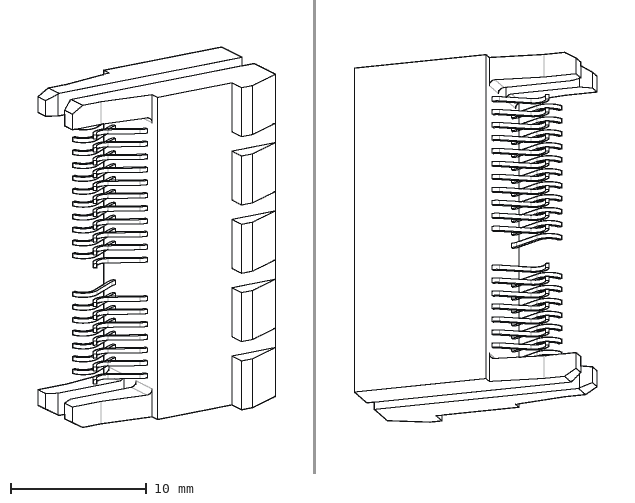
import cadquery as cq
import math


BODY_WIDTH = 7.5
BODY_DEPTH = 10.25
BODY_HEIGHT = 25.0

CHANNEL_LEFT = 2.85
CHANNEL_RIGHT = 4.52
CHANNEL_DEPTH = 1.02

LATCH_COUNT = 5
LATCH_REACH = 1.35
LATCH_LENGTH = 3.8
LATCH_RAMP_DEPTH = 2.85
LATCH_DEPTH = 3.8

TOTAL_DEPTH = 16.8
LEG_HEIGHT = 1.75
LEG_ROOT_INSET = 0.75
LEG_TIP_INSET = 1.35
LEG_TAPER_LENGTH = 4.05
LEG_ROOT_FILLET = 0.42
LEG_END_CHAMFER_LENGTH = 0.9
LEG_END_CHAMFER = 0.52
LEG_SIDE_CHAMFER_LENGTH = 0.82
LEFT_LEG_SIDE_CHAMFER = 0.42
RIGHT_LEG_SIDE_CHAMFER = 0.55

CONTACT_PITCH = 1.0
CONTACT_FIRST_Z = 3.0
CONTACT_SLOTS = 20
EMPTY_SLOTS = (7, 8)
CONTACT_WIDTH = 0.32
CONTACT_THICKNESS = 0.25
CONTACT_INSET = 1.42
CONTACT_EMBED = 0.25
ROOT_BEND_RADIUS = 1.05
TIP_BEND_RADIUS = 0.9
ARM_LENGTH = 2.35
ARM_ANGLE = 30.5
TIP_ANGLE = 74.0


def make_body():
    body = cq.Workplane("XY").box(BODY_WIDTH, BODY_DEPTH, BODY_HEIGHT, centered=False)
    body = body.translate((0, -BODY_DEPTH, 0))
    channel = cq.Workplane("XY").box(
        CHANNEL_RIGHT - CHANNEL_LEFT, BODY_DEPTH, CHANNEL_DEPTH, centered=False
    )
    for z in (0, BODY_HEIGHT - CHANNEL_DEPTH):
        body = body.cut(channel.translate((CHANNEL_LEFT, -BODY_DEPTH, z)))
    return body


def make_latch(z):
    outer = BODY_WIDTH + LATCH_REACH
    return (
        cq.Workplane("XY", origin=(0, 0, z))
        .moveTo(BODY_WIDTH, 0)
        .lineTo(outer, -LATCH_RAMP_DEPTH)
        .lineTo(outer, -LATCH_DEPTH)
        .lineTo(BODY_WIDTH, -LATCH_DEPTH)
        .close()
        .extrude(LATCH_LENGTH)
    )


def make_leg_plan(inner, chamfer, side):
    """Leg outline seen along Z; side is -1 for the -X legs and 1 for the +X legs."""
    middle = BODY_WIDTH / 2
    root_outer = middle + side * (middle - LEG_ROOT_INSET)
    tip_outer = middle + side * (middle - LEG_TIP_INSET)
    return (
        cq.Workplane("XY")
        .moveTo(inner, -BODY_DEPTH)
        .lineTo(root_outer, -BODY_DEPTH)
        .lineTo(tip_outer, -BODY_DEPTH - LEG_TAPER_LENGTH)
        .lineTo(tip_outer, -TOTAL_DEPTH)
        .lineTo(inner + side * chamfer, -TOTAL_DEPTH)
        .lineTo(inner, -TOTAL_DEPTH + LEG_SIDE_CHAMFER_LENGTH)
        .close()
        .extrude(BODY_HEIGHT)
    )


def make_leg_side():
    """Lower leg outline seen along X, with the root fillet and the end chamfer."""
    arc_offset = LEG_ROOT_FILLET * (1 - math.sqrt(0.5))
    return (
        cq.Workplane("YZ")
        .moveTo(-BODY_DEPTH, 0)
        .lineTo(-TOTAL_DEPTH + LEG_END_CHAMFER_LENGTH, 0)
        .lineTo(-TOTAL_DEPTH, LEG_END_CHAMFER)
        .lineTo(-TOTAL_DEPTH, LEG_HEIGHT)
        .lineTo(-BODY_DEPTH - LEG_ROOT_FILLET, LEG_HEIGHT)
        .threePointArc(
            (-BODY_DEPTH - arc_offset, LEG_HEIGHT + arc_offset),
            (-BODY_DEPTH, LEG_HEIGHT + LEG_ROOT_FILLET),
        )
        .close()
        .extrude(BODY_WIDTH)
    )


def make_legs():
    left = make_leg_plan(CHANNEL_LEFT, LEFT_LEG_SIDE_CHAMFER, -1)
    right = make_leg_plan(CHANNEL_RIGHT, RIGHT_LEG_SIDE_CHAMFER, 1)
    lower = left.union(right).intersect(make_leg_side())
    upper = lower.mirror("XY").translate((0, 0, BODY_HEIGHT))
    return lower.union(upper)


def make_contact():
    """Left-hand contact: curved root, straight arm leaning inwards, hooked tip."""
    arm = math.radians(ARM_ANGLE)
    tip = math.radians(TIP_ANGLE)

    root_centre = (CONTACT_INSET + ROOT_BEND_RADIUS, -BODY_DEPTH)
    root_end_x = root_centre[0] - ROOT_BEND_RADIUS * math.cos(arm)
    root_end_y = root_centre[1] - ROOT_BEND_RADIUS * math.sin(arm)
    arm_end_x = root_end_x + ARM_LENGTH * math.sin(arm)
    arm_end_y = root_end_y - ARM_LENGTH * math.cos(arm)
    tip_centre = (
        arm_end_x - TIP_BEND_RADIUS * math.cos(arm),
        arm_end_y - TIP_BEND_RADIUS * math.sin(arm),
    )

    def root_point(angle, offset):
        radius = ROOT_BEND_RADIUS - offset
        return root_centre[0] - radius * math.cos(angle), root_centre[1] - radius * math.sin(angle)

    def tip_point(angle, offset):
        radius = TIP_BEND_RADIUS + offset
        return tip_centre[0] + radius * math.cos(angle), tip_centre[1] - radius * math.sin(angle)

    thick = CONTACT_THICKNESS
    return (
        cq.Workplane("XY")
        .moveTo(CONTACT_INSET, -BODY_DEPTH + CONTACT_EMBED)
        .lineTo(*root_point(0, 0))
        .threePointArc(root_point(arm / 2, 0), root_point(arm, 0))
        .lineTo(*tip_point(-arm, 0))
        .threePointArc(tip_point(0, 0), tip_point(tip, 0))
        .lineTo(*tip_point(tip, thick))
        .threePointArc(tip_point(0, thick), tip_point(-arm, thick))
        .lineTo(*root_point(arm, thick))
        .threePointArc(root_point(arm / 2, thick), root_point(0, thick))
        .lineTo(CONTACT_INSET + thick, -BODY_DEPTH + CONTACT_EMBED)
        .close()
        .extrude(CONTACT_WIDTH / 2, both=True)
    )


result = make_body().union(make_legs())

latch_pitch = (BODY_HEIGHT - LATCH_LENGTH) / (LATCH_COUNT - 1)
for i in range(LATCH_COUNT):
    result = result.union(make_latch(i * latch_pitch))

left_contact = make_contact()
right_contact = left_contact.mirror("YZ").translate((BODY_WIDTH, 0, 0))
for slot in range(CONTACT_SLOTS):
    if slot not in EMPTY_SLOTS:
        z = CONTACT_FIRST_Z + slot * CONTACT_PITCH
        result = result.union(left_contact.translate((0, 0, z)))
        result = result.union(right_contact.translate((0, 0, z)))